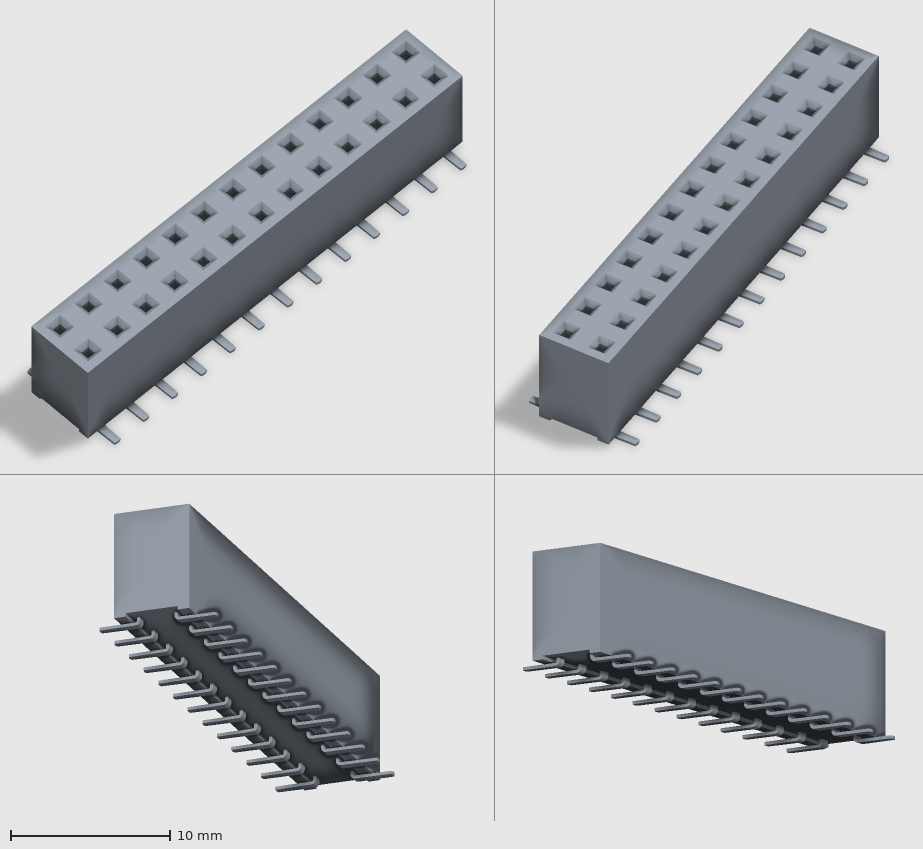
import cadquery as cq

body_length = 33.02
contacts_per_row = 13
pitch = body_length / contacts_per_row
body_width = 2 * pitch
overall_width = 7.92
overall_height = 7.3

standoff = 0.3
channel_roof = 0.53
channel_width = 3.5

socket_mouth = 1.3
socket_throat = 0.63
funnel_depth = 0.32
socket_depth = 3.95

lead_thickness = 0.2
shank_width = 0.63
tip_width = 0.53
tip_bulge = 0.05
bend_inner_radius = 0.1
shank_reach = 0.33
shank_top = overall_height - socket_depth + shank_reach

row_x = pitch / 2
contact_ys = [(i - (contacts_per_row - 1) / 2) * pitch for i in range(contacts_per_row)]


def make_housing():
    """Rectangular block with a channel along the whole underside."""
    block = cq.Workplane("XY").box(
        body_width, body_length, overall_height - standoff, centered=(True, True, False)
    ).translate((0, 0, standoff))
    channel = cq.Workplane("XY").box(
        channel_width, body_length, channel_roof, centered=(True, True, False)
    )
    return block.cut(channel)


def make_socket():
    """Square hole with a tapered mouth, centred on the Z axis."""
    funnel = (
        cq.Workplane("XY", origin=(0, 0, overall_height))
        .rect(socket_mouth, socket_mouth)
        .workplane(offset=-funnel_depth)
        .rect(socket_throat, socket_throat)
        .loft(ruled=True)
    )
    shaft = cq.Workplane("XY").box(
        socket_throat, socket_throat, socket_depth, centered=(True, True, False)
    ).translate((0, 0, overall_height - socket_depth))
    return funnel.union(shaft)


def make_lead():
    """L-shaped strip for the +X row, its foot narrowing out to a slightly rounded tip."""
    shank_inner = row_x - lead_thickness / 2
    shank_outer = row_x + lead_thickness / 2
    tip = overall_width / 2
    bend_outer_radius = bend_inner_radius + lead_thickness
    bend_end = shank_inner + bend_outer_radius
    strip = (
        cq.Workplane("XZ")
        .moveTo(tip, 0)
        .lineTo(bend_end, 0)
        .radiusArc((shank_inner, bend_outer_radius), bend_outer_radius)
        .lineTo(shank_inner, shank_top)
        .lineTo(shank_outer, shank_top)
        .lineTo(shank_outer, bend_outer_radius)
        .radiusArc((shank_outer + bend_inner_radius, lead_thickness), -bend_inner_radius)
        .lineTo(tip, lead_thickness)
        .close()
        .extrude(shank_width / 2, both=True)
    )
    plan = (
        cq.Workplane("XY")
        .moveTo(shank_inner, shank_width / 2)
        .lineTo(bend_end, shank_width / 2)
        .lineTo(tip - tip_bulge, tip_width / 2)
        .threePointArc((tip, 0), (tip - tip_bulge, -tip_width / 2))
        .lineTo(bend_end, -shank_width / 2)
        .lineTo(shank_inner, -shank_width / 2)
        .close()
        .extrude(shank_top)
    )
    return strip.intersect(plan)


right_lead = make_lead()
left_lead = right_lead.mirror("YZ")
socket = make_socket()

result = make_housing()
for y in contact_ys:
    for x in (-row_x, row_x):
        result = result.cut(socket.translate((x, y, 0)))
for y in contact_ys:
    for lead in (left_lead, right_lead):
        result = result.union(lead.translate((0, y, 0)))